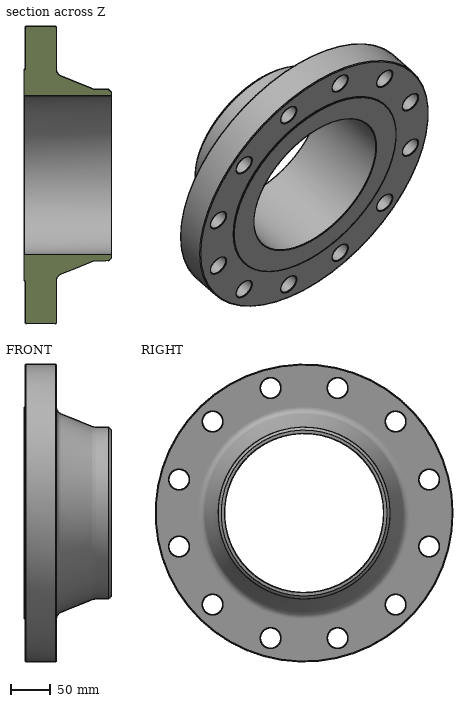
import cadquery as cq

flange_diameter = 380.0
total_length = 112.0
raised_face_diameter = 270.5
raised_face_height = 1.5
flange_back = 41.8
flange_edge_chamfer = 1.0
raised_face_chamfer = 0.8
bore_chamfer = 0.8

bore_diameter = 202.5
neck_diameter = 219.3
hub_base_diameter = 258.0
taper_end = 89.5
root_fillet_radius = 9.0
neck_fillet_radius = 12.0
weld_chamfer = 3.8

bolt_count = 12
bolt_hole_diameter = 25.5
bolt_circle_diameter = 330.2
bolt_hole_chamfer = 0.8

flange_radius = flange_diameter / 2
raised_face_radius = raised_face_diameter / 2
bore_radius = bore_diameter / 2
neck_radius = neck_diameter / 2
hub_base_radius = hub_base_diameter / 2


def make_body():
    """Revolve the flange and neck section about the X axis."""
    profile = (
        cq.Workplane("XY")
        .moveTo(bore_chamfer, bore_radius)
        .lineTo(0, bore_radius + bore_chamfer)
        .lineTo(0, raised_face_radius - raised_face_chamfer)
        .lineTo(raised_face_chamfer, raised_face_radius)
        .lineTo(raised_face_height, raised_face_radius)
        .lineTo(raised_face_height, flange_radius - flange_edge_chamfer)
        .lineTo(raised_face_height + flange_edge_chamfer, flange_radius)
        .lineTo(flange_back - flange_edge_chamfer, flange_radius)
        .lineTo(flange_back, flange_radius - flange_edge_chamfer)
        .lineTo(flange_back, hub_base_radius)
        .lineTo(taper_end, neck_radius)
        .lineTo(total_length - weld_chamfer, neck_radius)
        .lineTo(total_length, neck_radius - weld_chamfer)
        .lineTo(total_length, bore_radius)
        .close()
    )
    return profile.revolve(360, (0, 0, 0), (1, 0, 0))


def fillet_ring(body, x, radius, fillet_radius):
    """Round the circular edge that lies at the given position and radius."""
    margin = 0.5
    ring_zone = cq.selectors.BoxSelector(
        (x - margin, -radius - margin, -radius - margin),
        (x + margin, radius + margin, radius + margin),
        boundingbox=True,
    )
    return body.edges(ring_zone).edges(">Y").fillet(fillet_radius)


def make_bolt_hole_cutter():
    """One bolt hole along X, widened by a chamfer at both flange faces."""
    hole_radius = bolt_hole_diameter / 2
    mouth_radius = hole_radius + bolt_hole_chamfer
    return (
        cq.Workplane("XY")
        .moveTo(raised_face_height, 0)
        .lineTo(raised_face_height, mouth_radius)
        .lineTo(raised_face_height + bolt_hole_chamfer, hole_radius)
        .lineTo(flange_back - bolt_hole_chamfer, hole_radius)
        .lineTo(flange_back, mouth_radius)
        .lineTo(flange_back, 0)
        .close()
        .revolve(360, (0, 0, 0), (1, 0, 0))
    )


def cut_bolt_holes(body):
    """Cut the ring of bolt holes, none of which lies on the Y or Z axis."""
    pitch_angle = 360 / bolt_count
    cutter = make_bolt_hole_cutter().translate((0, bolt_circle_diameter / 2, 0))
    for index in range(bolt_count):
        angle = (index + 0.5) * pitch_angle
        body = body.cut(cutter.rotate((0, 0, 0), (1, 0, 0), angle))
    return body


body = make_body()
body = fillet_ring(body, flange_back, hub_base_radius, root_fillet_radius)
body = fillet_ring(body, taper_end, neck_radius, neck_fillet_radius)
result = cut_bolt_holes(body)